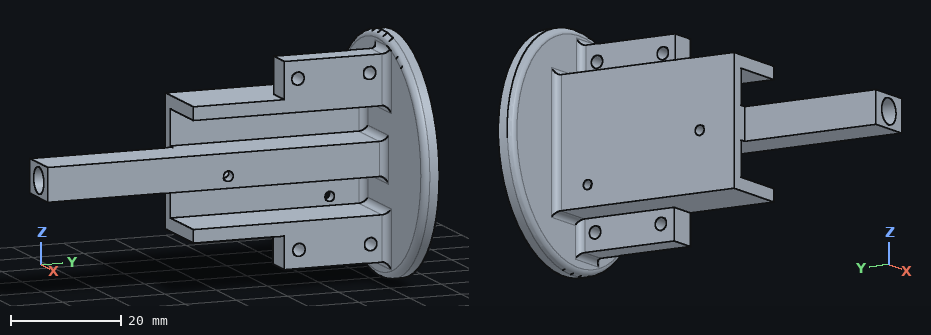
import cadquery as cq

plate_diameter = 45.72
plate_thickness = 3.175
edge_radius = 1.27

housing_length = 38.1
housing_height = 25.3
housing_left = -8.2
housing_right = 5.77
wall = 2.54

stem_width = 9.0
stem_height = 6.5
stem_overhang = 27.94
bore_diameter = 5.0

ear_length = 20.32
upper_ear_left = 0.38
upper_ear_top = 19.72
lower_ear_left = 0.03
lower_ear_bottom = -18.9

ear_hole_diameter = 2.4
ear_hole_spacing = 14.0
upper_ear_hole_offset = 6.85
upper_ear_hole_z = 16.35
lower_ear_hole_offset = 6.65
lower_ear_hole_z = -15.4
inner_pin_hole_diameter = 1.8
inner_pin_hole_offset = 10.1
inner_pin_hole_z = -8.45
outer_pin_hole_diameter = 1.9
outer_pin_hole_offset = 33.95
outer_pin_hole_z = -1.02

selection_margin = 0.01

plate_front = -plate_thickness
housing_end = plate_thickness + housing_length
stem_end = housing_end + stem_overhang
housing_top = housing_height / 2
back_wall_inside = housing_left + wall


def bar(x_min, x_max, z_min, z_max, length):
    """Rectangular bar running from the plate's back face to the given length along -Y."""
    size_x = x_max - x_min
    size_z = z_max - z_min
    return cq.Workplane("XY").box(size_x, length, size_z, centered=False).translate((x_min, -length, z_min))


def axial_cylinder(diameter, length):
    """Cylinder on the plate axis, from the plate's back face along -Y."""
    return cq.Workplane("XZ").circle(diameter / 2).extrude(length)


def cross_hole(diameter, offset, z):
    """Cutter along X through the whole part."""
    start = cq.Workplane("YZ", origin=(-plate_diameter / 2, -offset, z))
    return start.circle(diameter / 2).extrude(plate_diameter)


def make_housing():
    outside = bar(housing_left, housing_right, -housing_top, housing_top, housing_end)
    inside_top = housing_top - wall
    inside = bar(back_wall_inside, housing_right, -inside_top, inside_top, housing_end)
    return outside.cut(inside)


def make_stem():
    half_width = stem_width / 2
    half_height = stem_height / 2
    stem = bar(-half_width, half_width, -half_height, half_height, stem_end)
    web = bar(back_wall_inside, -half_width, -half_height, half_height, housing_end)
    return stem.union(web)


def make_ears():
    ear_end = plate_thickness + ear_length
    upper = bar(upper_ear_left, housing_right, housing_top, upper_ear_top, ear_end)
    lower = bar(lower_ear_left, housing_right, lower_ear_bottom, -housing_top, ear_end)
    return upper.union(lower)


def make_envelope():
    """Round-rimmed plate, with a cylinder in front that keeps the wall fillets off the rounded rim."""
    plate = axial_cylinder(plate_diameter, plate_thickness).faces("<Y").edges().fillet(edge_radius)
    return plate.union(axial_cylinder(plate_diameter - 2 * edge_radius, stem_end))


def make_body():
    body = axial_cylinder(plate_diameter, plate_thickness)
    body = body.union(make_housing()).union(make_stem()).union(make_ears())
    front_face_slab = cq.selectors.BoxSelector(
        (-plate_diameter, plate_front - selection_margin, -plate_diameter),
        (plate_diameter, plate_front + selection_margin, plate_diameter),
    )
    body = body.edges(front_face_slab).edges("%LINE").fillet(edge_radius)
    return body.intersect(make_envelope())


def make_cross_holes():
    cutters = cross_hole(inner_pin_hole_diameter, inner_pin_hole_offset, inner_pin_hole_z)
    cutters = cutters.union(cross_hole(outer_pin_hole_diameter, outer_pin_hole_offset, outer_pin_hole_z))
    ear_holes = (
        (upper_ear_hole_offset, upper_ear_hole_z),
        (lower_ear_hole_offset, lower_ear_hole_z),
    )
    for first_offset, z in ear_holes:
        for offset in (first_offset, first_offset + ear_hole_spacing):
            cutters = cutters.union(cross_hole(ear_hole_diameter, offset, z))
    return cutters


bore = axial_cylinder(bore_diameter, stem_end)
result = make_body().cut(bore).cut(make_cross_holes())